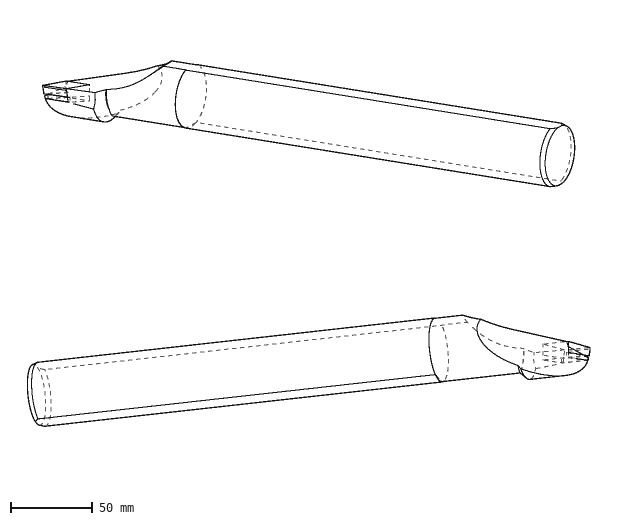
import cadquery as cq
import math

total_length = 350.0

shank_radius = 20.0
flat_height = 18.72
end_chamfer_length = 3.0
end_chamfer_depth = 1.0
neck_radius = 19.78
neck_end = 89.5

head_radius = 22.92
head_offset = -4.02
head_end = 34.5
tip_y = head_offset - head_radius
cone_length = 6.3

flank_rise = 1.5
flank_slope = flank_rise / head_end
bar_flank_lean = 0.08
insert_flank_lean = 0.1

tip_relief = (27.12, 0.96, 0.2)
side_relief = (32.72, 1.28, 0.27)

flute_tip_z = 1.0
flute_tilt = 9.6
flute_arc_start = 34.0
flute_arc_radius = 53.5
arc_start_per_y = 0.21
arc_radius_per_y = -0.19
flute_sweep = 70.0

insert_length = 16.5
insert_depth = 10.0
insert_slant = 11.0
insert_step_z = -4.5
insert_bottom_z = -7.7
lower_tier_recess = 1.5
clearance = 70.0


def x_cylinder(start, end, radius, y=0.0):
    return cq.Workplane("YZ", origin=(start, y, 0)).circle(radius).extrude(end - start)


def x_frustum(start, end, start_radius, end_radius, y=0.0):
    axis_start = cq.Vector(start, y, 0)
    cone = cq.Solid.makeCone(start_radius, end_radius, end - start, axis_start, cq.Vector(1, 0, 0))
    return cq.Workplane(cone)


def make_shank():
    chamfer_start = total_length - end_chamfer_length
    shank = x_cylinder(neck_end, chamfer_start, shank_radius)
    end_radius = shank_radius - end_chamfer_depth
    shank = shank.union(x_frustum(chamfer_start, total_length, shank_radius, end_radius))
    flats = cq.Workplane("XY").box(3 * total_length, 2 * clearance, 2 * flat_height)
    return shank.intersect(flats)


def make_neck():
    neck = x_cylinder(0, neck_end, neck_radius)
    above_flat = cq.Workplane("XY", origin=(0, 0, flat_height)).rect(
        3 * total_length, 2 * clearance
    ).extrude(clearance)
    return neck.cut(above_flat)


def make_head():
    cone = x_frustum(head_end, head_end + cone_length, head_radius, head_radius - cone_length, head_offset)
    return x_cylinder(0, head_end, head_radius, head_offset).union(cone)


def half_space(origin, x_dir, outward):
    face = cq.Plane(origin=origin, xDir=x_dir, normal=outward)
    return cq.Workplane(face).rect(4 * clearance, 4 * clearance).extrude(clearance)


def make_flank_cutter(lean):
    """Everything outside the plane Y = tip_y + flank_slope * X - lean * Z."""
    near_head = cq.Workplane("XY").box(2 * (head_end + cone_length), 4 * clearance, 4 * clearance)
    return half_space((0, tip_y, 0), (1, flank_slope, 0), (flank_slope, -1, -lean)).intersect(near_head)


def make_relief_cutter(intercept, per_y, per_z):
    return half_space((intercept, 0, 0), (per_y, 1, 0), (-1, per_y, per_z))


def flute_section(y):
    """Closed flute outline at a distance y from the tip."""
    start = flute_arc_start + arc_start_per_y * y
    radius = flute_arc_radius + arc_radius_per_y * y

    def arc_point(degrees):
        angle = math.radians(degrees)
        return (start + radius * math.sin(angle), radius * (1 - math.cos(angle)))

    arc_end = arc_point(flute_sweep)
    return (
        cq.Workplane("XZ", origin=(0, y, 0))
        .moveTo(-clearance, 0)
        .lineTo(start, 0)
        .threePointArc(arc_point(flute_sweep / 2), arc_end)
        .lineTo(arc_end[0], clearance)
        .lineTo(-clearance, clearance)
        .close()
        .val()
    )


def make_flute_cutter():
    sections = [flute_section(-clearance), flute_section(clearance)]
    cutter = cq.Workplane(cq.Solid.makeLoft(sections, True))
    return cutter.rotate((0, 0, 0), (1, 0, 0), flute_tilt).translate((0, tip_y, flute_tip_z))


def make_insert_tier(bottom, top, recess):
    """Parallelogram prism whose tip sides are set back from the cutting edges by recess along Y."""
    front_y = tip_y + recess
    inner_y = tip_y + insert_depth
    front_x = recess * insert_slant / insert_depth + recess
    end_x = insert_length + recess * insert_slant / insert_depth
    return (
        cq.Workplane("XY", origin=(0, 0, bottom))
        .polyline([
            (front_x, front_y + flank_slope * front_x),
            (end_x, front_y + flank_slope * end_x),
            (insert_slant + insert_length, inner_y),
            (insert_slant + recess, inner_y),
        ])
        .close()
        .extrude(top - bottom)
    )


def make_insert(flute):
    upper = make_insert_tier(insert_step_z, clearance, 0)
    lower = make_insert_tier(insert_bottom_z, insert_step_z, lower_tier_recess)
    return upper.union(lower).cut(make_flank_cutter(insert_flank_lean)).cut(flute)


def make_pocket_cutter():
    return make_insert_tier(insert_bottom_z, clearance, 0)


def make_bar(flute):
    front = make_neck().union(make_head())
    front = front.cut(make_flank_cutter(bar_flank_lean))
    for relief in (tip_relief, side_relief):
        front = front.cut(make_relief_cutter(*relief))
    bar = front.union(make_shank())
    return bar.cut(flute).cut(make_pocket_cutter())


flute = make_flute_cutter()
bar = make_bar(flute)
insert = make_insert(flute)
result = cq.Compound.makeCompound([*bar.vals(), *insert.vals()])